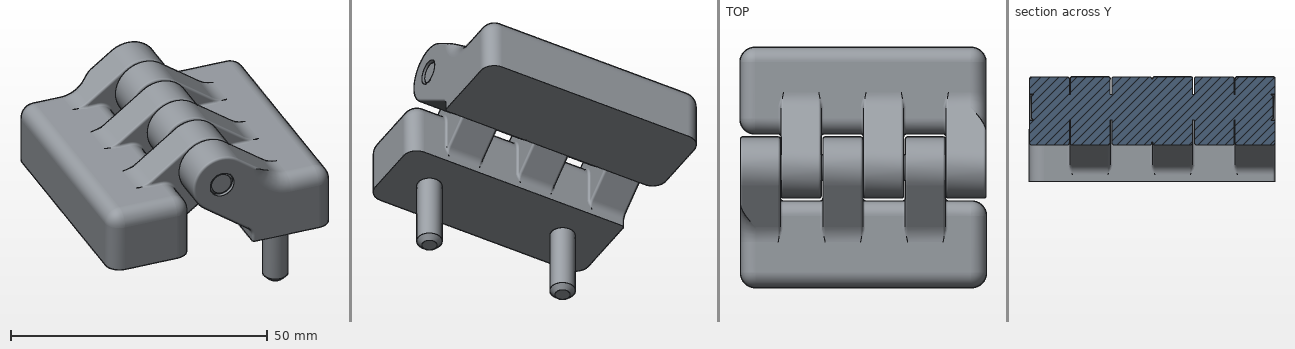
import cadquery as cq
import math

leaf_length = 48.1
leaf_shift = 0.05
block_inner_y = 6.5
block_outer_y = 23.498
block_height = 12.5
block_round = 3.0

pivot_z = 14.5
knuckle_radius = 6.0
knuckle_count = 3
knuckle_width = 7.85
knuckle_gap = 0.2
edge_round = 0.5
pin_diameter = 5.0
pin_end_chamfer = 0.45
pin_recess = 0.4

arm_slope = math.radians(36)
arm_top_blend = 5.0
arm_bottom_blend = 2.0

stud_diameter = 5.0
stud_length = 15.0
stud_spacing = 30.05
stud_chamfer = 1.0

leaf_x_max = leaf_length / 2 - leaf_shift
block_depth = block_outer_y - block_inner_y
block_center = (-leaf_shift, (block_inner_y + block_outer_y) / 2)
knuckle_pitch = 2 * (knuckle_width + knuckle_gap)
arm_starts = [leaf_x_max - knuckle_width - i * knuckle_pitch for i in range(knuckle_count)]
slope_cos = math.cos(arm_slope)
slope_sin = math.sin(arm_slope)
slope_tan = math.tan(arm_slope)
top_corner_y = (pivot_z + knuckle_radius / slope_cos - block_height) / slope_tan
bottom_corner_z = pivot_z - knuckle_radius / slope_cos - block_inner_y * slope_tan
top_blend_run = arm_top_blend * math.tan(arm_slope / 2)
blend_end_y = top_corner_y + top_blend_run
blend_center_z = block_height + arm_top_blend


def rounded_block():
    block = cq.Workplane("XY").center(*block_center).rect(leaf_length, block_depth).extrude(block_height)
    return block.edges("|Z or >Z").fillet(block_round)


def arm_profile():
    """Side outline of one arm with its knuckle, as (Y, Z) points."""
    bottom_blend_run = arm_bottom_blend * math.tan((math.pi / 2 - arm_slope) / 2)
    upper_tangent = (knuckle_radius * slope_sin, pivot_z + knuckle_radius * slope_cos)
    knuckle_tip = (-knuckle_radius * slope_cos, pivot_z + knuckle_radius * slope_sin)
    lower_tangent = (-knuckle_radius * slope_sin, pivot_z - knuckle_radius * slope_cos)
    bottom_blend_start = (
        block_inner_y - bottom_blend_run * slope_cos,
        bottom_corner_z + bottom_blend_run * slope_sin,
    )
    bottom_blend_end = (block_inner_y, bottom_corner_z - bottom_blend_run)
    top_blend_start = (top_corner_y - top_blend_run * slope_cos, block_height + top_blend_run * slope_sin)
    top_blend_end = (blend_end_y, block_height)
    return (
        cq.Workplane("YZ")
        .moveTo(*top_blend_start)
        .lineTo(*upper_tangent)
        .threePointArc(knuckle_tip, lower_tangent)
        .lineTo(*bottom_blend_start)
        .tangentArcPoint(bottom_blend_end, relative=False)
        .lineTo(block_inner_y, 0)
        .lineTo(blend_end_y, 0)
        .lineTo(*top_blend_end)
        .threePointArc(
            (
                blend_end_y - arm_top_blend * math.sin(arm_slope / 2),
                blend_center_z - arm_top_blend * math.cos(arm_slope / 2),
            ),
            top_blend_start,
        )
        .close()
    )


def rounded_arm(x_start):
    arm = arm_profile().extrude(knuckle_width)
    kept_sharp = cq.selectors.BoxSelector(
        (-0.5, block_inner_y + 0.5, -0.5),
        (knuckle_width + 0.5, blend_end_y + 0.5, block_height - 0.5),
    )
    side_edges = cq.selectors.StringSyntaxSelector("<X or >X")
    arm = arm.edges(side_edges - kept_sharp).fillet(edge_round)
    return arm.translate((x_start, 0, 0))


def end_round_cutter():
    """Carries the block's end round on around the concave blend at the top of the end arm."""
    outer_radius = arm_top_blend + block_round
    mid = block_round * math.sqrt(0.5)
    axis_point = (leaf_x_max, blend_end_y, blend_center_z)
    profile = (
        cq.Workplane("XZ", origin=axis_point)
        .moveTo(-block_round, -arm_top_blend)
        .threePointArc((mid - block_round, -outer_radius + mid), (0, -outer_radius))
        .lineTo(0.5, -outer_radius)
        .lineTo(0.5, 0.5 - arm_top_blend)
        .lineTo(-block_round, 0.5 - arm_top_blend)
        .close()
    )
    return profile.revolve(90, (0, 0, 0), (-1, 0, 0))


def sharp_leaf():
    """Rear leaf before the concave rounds at the roots of its arms are added."""
    body = rounded_block()
    for x_start in arm_starts:
        body = body.union(rounded_arm(x_start))
    return body.cut(end_round_cutter())


def stud(x_offset):
    center_x, center_y = block_center
    blank = cq.Workplane("XY").center(center_x + x_offset, center_y).circle(stud_diameter / 2)
    return blank.extrude(-stud_length).faces("<Z").chamfer(stud_chamfer)


def pin_cylinder(half_length):
    blank = cq.Workplane("YZ", origin=(-half_length, 0, pivot_z)).circle(pin_diameter / 2)
    return blank.extrude(2 * half_length)


def round_arm_roots(body, side):
    """Adds the concave rounds where arms meet the block; side is 1 for the rear leaf, -1 for the front."""
    root_edges = cq.selectors.BoxSelector(
        (side * (arm_starts[-1] - 0.5), side * (block_inner_y - 0.05), block_height * 0.3),
        (side * (leaf_x_max - 0.5), side * (block_inner_y + 0.05), block_height * 0.7),
    )
    return body.edges("|Z").edges(root_edges).fillet(edge_round)


rear_leaf = sharp_leaf()
front_leaf = rear_leaf.rotate((0, 0, 0), (0, 0, 1), 180)
pin_hole = pin_cylinder(leaf_x_max)
hinge_pin = pin_cylinder(leaf_x_max - pin_recess).faces("<X or >X").chamfer(pin_end_chamfer)
hinge = rear_leaf.union(front_leaf).cut(pin_hole).union(hinge_pin)
for x_offset in (-stud_spacing / 2, stud_spacing / 2):
    hinge = hinge.union(stud(x_offset))

result = round_arm_roots(round_arm_roots(hinge, 1), -1)